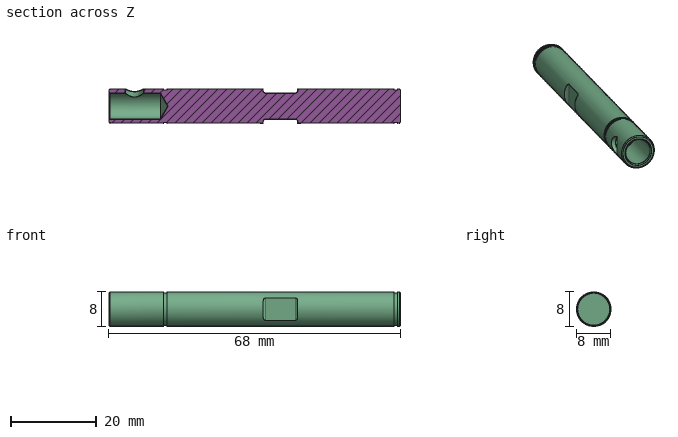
import cadquery as cq

length = 68.0
diameter = 8.0
radius = diameter / 2
left_chamfer = 0.3
right_chamfer = 0.3

groove_width = 0.8
groove_depth = 0.2
groove_starts = (12.8, 66.45)

bore_radius = 3.0
bore_depth = 12.05
bore_point_length = 1.7
bore_chamfer = 0.3

side_hole_x = 6.0
side_hole_diameter = 4.2

flat_start = 36.0
flat_length = 8.0
across_flats = 6.1
flat_corner_radius = 0.55


def make_body():
    body = cq.Workplane("YZ").circle(radius).extrude(length)
    return body.faces("<X").chamfer(left_chamfer).faces(">X").chamfer(right_chamfer)


def make_groove(start):
    ring = cq.Workplane("YZ", origin=(start, 0, 0)).circle(diameter)
    return ring.circle(radius - groove_depth).extrude(groove_width)


def make_bore():
    profile = [
        (0, 0),
        (0, bore_radius + bore_chamfer),
        (bore_chamfer, bore_radius),
        (bore_depth, bore_radius),
        (bore_depth + bore_point_length, 0),
    ]
    return cq.Workplane("XY").polyline(profile).close().revolve(360, (0, 0, 0), (1, 0, 0))


def make_side_hole():
    plane = cq.Plane(origin=(side_hole_x, 0, 0), xDir=(1, 0, 0), normal=(0, 1, 0))
    return cq.Workplane(plane).circle(side_hole_diameter / 2).extrude(diameter)


def make_flat_cutter(side):
    """Box beyond one flat, rounded where its end walls meet the flat."""
    center = (flat_start + flat_length / 2, side * (across_flats + diameter) / 2, 0)
    box = cq.Workplane("XY").box(flat_length, diameter, diameter).translate(center)
    inner_corners = "|Z and <Y" if side > 0 else "|Z and >Y"
    return box.edges(inner_corners).fillet(flat_corner_radius)


result = make_body()
for groove_start in groove_starts:
    result = result.cut(make_groove(groove_start))
result = result.cut(make_bore()).cut(make_side_hole())
for flat_side in (-1, 1):
    result = result.cut(make_flat_cutter(flat_side))